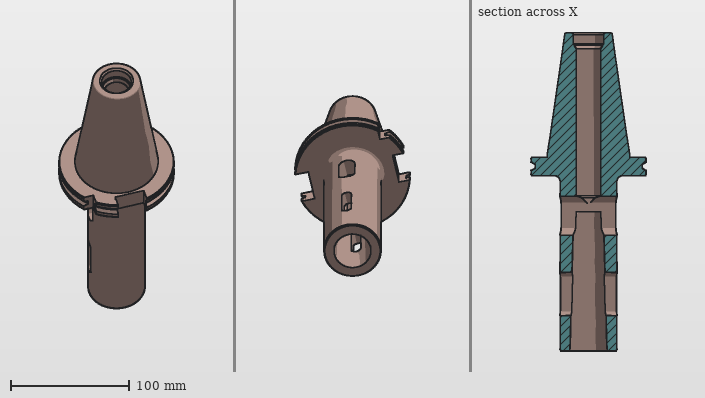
import cadquery as cq
import math

total_length = 268.8
taper_length = 101.9
gauge_z = total_length - taper_length
gauge_radius = 35
taper_slope = 7 / 48
tip_radius = gauge_radius - taper_length * taper_slope
tip_round = 2.0

flange_diameter = 97.3
flange_radius = flange_diameter / 2
flange_setback = 3.2
flange_top = gauge_z - flange_setback
flange_thickness = 15.9
flange_bottom = flange_top - flange_thickness
flange_chamfer_width = 0.5
flange_chamfer_height = 1.3
collar_height = 1.5
taper_base_z = flange_top + collar_height
taper_base_radius = gauge_radius + (gauge_z - taper_base_z) * taper_slope
groove_setback = 11.0
groove_z = gauge_z - groove_setback
groove_depth = 3.2
groove_floor_width = 3.2
groove_half_angle = 30

shank_radius = 24.2
shank_fillet = 4.8
shank_end_chamfer_height = 1.5
shank_end_chamfer_width = 0.8

drive_slot_width = 25.3
left_slot_floor = 35.5
right_slot_floor = 37.4
notch_x = 30.0
notch_y = 29.5

tip_bore_diameter = 25.0
tip_bore_radius = tip_bore_diameter / 2
tip_bore_depth = 9.5
tip_bore_chamfer = 1.5
thread_diameter = 24.0
thread_radius = thread_diameter / 2
thread_mouth_length = 1.3
core_radius = 10.2
thread_cone_half_angle = 30
drill_half_angle = 59
breakthrough_radius = 9.1
pilot_radius = 7.0

tang_slot_width = 14.0
tang_slot_bottom = 98.0
tang_slot_top = 130.5
key_slot_width = 8.3
key_slot_bottom = 30.0
key_slot_top = 66.0

socket_mouth_radius = 15.5
socket_depth = 117.5
socket_taper = 0.052
socket_end_radius = socket_mouth_radius - socket_depth * socket_taper / 2


def make_body():
    """Turned outside: shank, grooved flange and steep taper."""
    half_floor = groove_floor_width / 2
    half_mouth = half_floor + groove_depth * math.tan(math.radians(groove_half_angle))
    groove_radius = flange_radius - groove_depth
    flange_edge = flange_radius - flange_chamfer_width
    fillet_mid = shank_fillet * (1 - math.sqrt(0.5))
    return (
        cq.Workplane("XZ")
        .moveTo(0, 0)
        .lineTo(shank_radius - shank_end_chamfer_width, 0)
        .lineTo(shank_radius, shank_end_chamfer_height)
        .lineTo(shank_radius, flange_bottom - shank_fillet)
        .threePointArc(
            (shank_radius + fillet_mid, flange_bottom - fillet_mid),
            (shank_radius + shank_fillet, flange_bottom),
        )
        .lineTo(flange_edge, flange_bottom)
        .lineTo(flange_radius, flange_bottom + flange_chamfer_height)
        .lineTo(flange_radius, groove_z - half_mouth)
        .lineTo(groove_radius, groove_z - half_floor)
        .lineTo(groove_radius, groove_z + half_floor)
        .lineTo(flange_radius, groove_z + half_mouth)
        .lineTo(flange_radius, flange_top - flange_chamfer_height)
        .lineTo(flange_edge, flange_top)
        .lineTo(taper_base_radius, flange_top)
        .lineTo(taper_base_radius, taper_base_z)
        .lineTo(tip_radius, total_length)
        .lineTo(0, total_length)
        .close()
        .revolve(360, (0, 0, 0), (0, 1, 0))
        .faces(">Z")
        .edges()
        .fillet(tip_round)
    )


def make_flange_cutters():
    """Two opposed drive slots and one corner notch, all through the flange."""
    reach = 2 * flange_radius

    def block(x, y, width):
        return (
            cq.Workplane("XY", origin=(0, 0, flange_bottom))
            .rect(reach, width, centered=(False, False))
            .extrude(flange_thickness)
            .translate((x, y, 0))
        )

    left_slot = block(-left_slot_floor - reach, -drive_slot_width / 2, drive_slot_width)
    right_slot = block(right_slot_floor, -drive_slot_width / 2, drive_slot_width)
    notch = block(notch_x, -notch_y - reach, reach)
    return left_slot.union(right_slot).union(notch)


def make_tip_bore():
    """Chamfered counterbore, thread mouth and core hole, with a pilot hole into the socket."""
    floor_z = total_length - tip_bore_depth
    cone_z = floor_z - thread_mouth_length
    core_z = cone_z - (thread_radius - core_radius) / math.tan(math.radians(thread_cone_half_angle))
    drill_slope = 1 / math.tan(math.radians(drill_half_angle))
    core_end_z = tang_slot_top + (core_radius - breakthrough_radius) * drill_slope
    drill_end_z = core_end_z - (core_radius - pilot_radius) * drill_slope
    return (
        cq.Workplane("XZ")
        .moveTo(0, socket_depth)
        .lineTo(pilot_radius, socket_depth)
        .lineTo(pilot_radius, drill_end_z)
        .lineTo(core_radius, core_end_z)
        .lineTo(core_radius, core_z)
        .lineTo(thread_radius, cone_z)
        .lineTo(thread_radius, floor_z)
        .lineTo(tip_bore_radius, floor_z)
        .lineTo(tip_bore_radius, total_length - tip_bore_chamfer)
        .lineTo(tip_bore_radius + tip_bore_chamfer, total_length)
        .lineTo(0, total_length)
        .close()
        .revolve(360, (0, 0, 0), (0, 1, 0))
    )


def make_socket():
    """Morse taper socket, narrowing upwards from the shank end."""
    return (
        cq.Workplane("XZ")
        .lineTo(socket_mouth_radius, 0)
        .lineTo(socket_end_radius, socket_depth)
        .lineTo(0, socket_depth)
        .close()
        .revolve(360, (0, 0, 0), (0, 1, 0))
    )


def make_cross_slot(width, bottom, top):
    """Round-ended slot through the shank along Y."""
    return (
        cq.Workplane("XZ")
        .center(0, (bottom + top) / 2)
        .slot2D(top - bottom, width, 90)
        .extrude(2 * shank_radius, both=True)
    )


result = (
    make_body()
    .cut(make_flange_cutters())
    .cut(make_tip_bore())
    .cut(make_socket())
    .cut(make_cross_slot(tang_slot_width, tang_slot_bottom, tang_slot_top))
    .cut(make_cross_slot(key_slot_width, key_slot_bottom, key_slot_top))
)